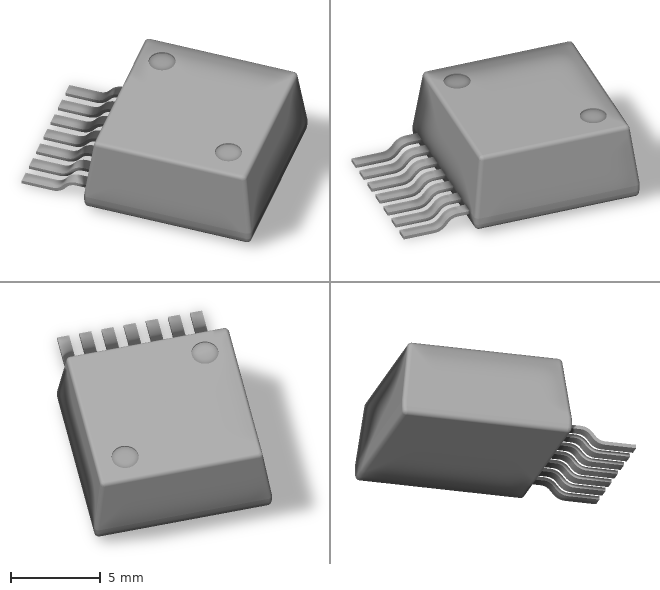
import cadquery as cq
import math

body_length = 9.85
body_width = 10.16
body_bottom = 0.19
band_bottom = 0.6
band_top = 1.0
body_top = 4.76
draft = 7
edge_radius = 0.25

mark_diameter = 1.5
mark_depth = 0.1
mark_spacing = 5.9
mark_shift = 0.04

overall_length = 13.77
lead_count = 7
lead_pitch = 1.27
lead_width = 0.69
lead_thickness = 0.2
foot_length = 1.8
bend_angle = math.radians(50)
inner_bend_radius = 0.7
root_depth = 0.14
lead_top = 0.99

outer_bend_radius = inner_bend_radius + lead_thickness
body_left = -body_length / 2
lead_tip = body_length / 2 - overall_length


def make_body():
    """Drafted block with rounded corners and rounded top and bottom rims."""
    band = (
        cq.Workplane("XY", origin=(0, 0, band_bottom))
        .rect(body_length, body_width)
        .extrude(band_top - band_bottom)
    )
    upper = (
        cq.Workplane("XY", origin=(0, 0, band_top))
        .rect(body_length, body_width)
        .extrude(body_top - band_top, taper=draft)
    )
    lower = (
        cq.Workplane("XY", origin=(0, 0, band_bottom))
        .rect(body_length, body_width)
        .extrude(body_bottom - band_bottom, taper=draft)
    )
    block = band.union(upper).union(lower)
    corner_edges = block.edges("not(#Z)")
    return corner_edges.fillet(edge_radius).faces("<Z or >Z").edges().fillet(edge_radius)


def make_marks():
    """Cylinders that cut the two round marks."""
    half_spacing = mark_spacing / 2
    return (
        cq.Workplane("XY", origin=(-mark_shift, mark_shift, body_top))
        .pushPoints([(-half_spacing, half_spacing), (half_spacing, -half_spacing)])
        .circle(mark_diameter / 2)
        .extrude(-mark_depth)
    )


def make_lead():
    """One lead centred on Y = 0: flat foot, S-bend up, flat root into the body."""
    rise = lead_top - lead_thickness
    bend_sum = inner_bend_radius + outer_bend_radius
    slope_rise = rise - bend_sum * (1 - math.cos(bend_angle))
    slope_run = slope_rise / math.tan(bend_angle)

    lower_x = lead_tip + foot_length
    lower_z = lead_thickness + inner_bend_radius
    upper_x = lower_x + bend_sum * math.sin(bend_angle) + slope_run
    upper_z = lead_top - outer_bend_radius
    root_x = body_left + root_depth

    def lower_bend(radius, angle):
        return (lower_x + radius * math.sin(angle), lower_z - radius * math.cos(angle))

    def upper_bend(radius, angle):
        return (upper_x - radius * math.sin(angle), upper_z + radius * math.cos(angle))

    half_angle = bend_angle / 2
    profile = (
        cq.Workplane("XZ")
        .moveTo(lead_tip, lead_thickness)
        .lineTo(*lower_bend(inner_bend_radius, 0))
        .threePointArc(
            lower_bend(inner_bend_radius, half_angle), lower_bend(inner_bend_radius, bend_angle)
        )
        .lineTo(*upper_bend(outer_bend_radius, bend_angle))
        .threePointArc(upper_bend(outer_bend_radius, half_angle), upper_bend(outer_bend_radius, 0))
        .lineTo(root_x, lead_top)
        .lineTo(root_x, lead_top - lead_thickness)
        .lineTo(*upper_bend(inner_bend_radius, 0))
        .threePointArc(
            upper_bend(inner_bend_radius, half_angle), upper_bend(inner_bend_radius, bend_angle)
        )
        .lineTo(*lower_bend(outer_bend_radius, bend_angle))
        .threePointArc(lower_bend(outer_bend_radius, half_angle), lower_bend(outer_bend_radius, 0))
        .lineTo(lead_tip, 0)
        .close()
    )
    return profile.extrude(lead_width / 2, both=True)


result = make_body().cut(make_marks())
lead = make_lead()
for index in range(lead_count):
    lead_y = (index - (lead_count - 1) / 2) * lead_pitch
    result = result.union(lead.translate((0, lead_y, 0)))